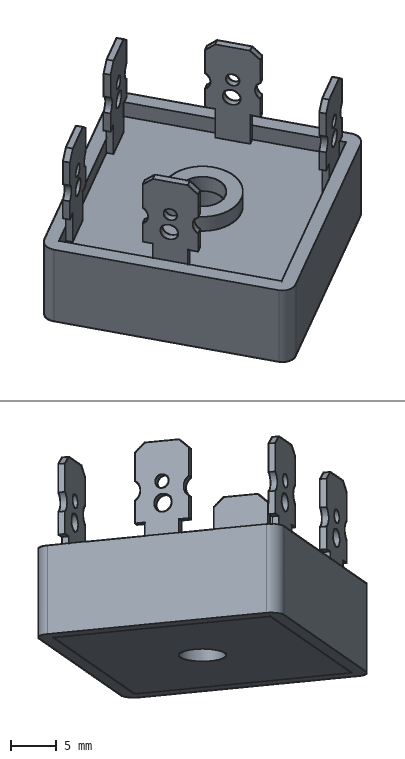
import cadquery as cq

side = 28.5
frame_height = 10.0
wall = 1.62
corner_radius = 1.5
inner_side = side - 2 * wall

recess_depth = 2.0
floor_top = frame_height - recess_depth
bore_diameter = 5.2
collar_diameter = 8.8

total_height = 21.0
blade_thickness = 0.8
blade_width = 6.3
neck_width = 4.0
shoulder_height = 12.0
tip_chamfer_width = 1.17
tip_chamfer_height = 1.05
notch_height = 15.65
notch_depth = 0.63
notch_length = 2.2
small_hole_diameter = 1.55
small_hole_height = 16.47
large_hole_diameter = 2.02
large_hole_height = 14.02
large_hole_offset = -0.1
side_terminal_y = 7.98
wall_distance = inner_side / 2


def make_frame():
    outer = cq.Workplane("XY").rect(side, side).extrude(frame_height)
    outer = outer.edges("|Z").fillet(corner_radius)
    opening = cq.Workplane("XY").rect(inner_side, inner_side).extrude(frame_height)
    return outer.cut(opening)


def make_floor():
    slab = cq.Workplane("XY").rect(inner_side, inner_side).extrude(floor_top)
    bore = cq.Workplane("XY").circle(bore_diameter / 2).extrude(floor_top)
    return slab.cut(bore)


def make_collar():
    return (
        cq.Workplane("XY", origin=(0, 0, floor_top))
        .circle(collar_diameter / 2)
        .circle(bore_diameter / 2)
        .extrude(recess_depth)
    )


def blade_hole(x, height, diameter):
    return (
        cq.Workplane("XZ")
        .center(x, height)
        .circle(diameter / 2)
        .extrude(-blade_thickness)
    )


def make_terminal():
    """Terminal centred on x = 0, with one face on y = 0 and its thickness toward +Y."""
    half_blade = blade_width / 2
    half_neck = neck_width / 2
    half_tip = half_blade - tip_chamfer_width
    chamfer_start = total_height - tip_chamfer_height
    notch_low = notch_height - notch_length / 2
    notch_high = notch_height + notch_length / 2
    notch_bottom = half_blade - notch_depth

    blade = (
        cq.Workplane("XZ")
        .moveTo(-half_neck, floor_top)
        .lineTo(half_neck, floor_top)
        .lineTo(half_neck, shoulder_height)
        .lineTo(half_blade, shoulder_height)
        .lineTo(half_blade, notch_low)
        .threePointArc((notch_bottom, notch_height), (half_blade, notch_high))
        .lineTo(half_blade, chamfer_start)
        .lineTo(half_tip, total_height)
        .lineTo(-half_tip, total_height)
        .lineTo(-half_blade, chamfer_start)
        .lineTo(-half_blade, notch_high)
        .threePointArc((-notch_bottom, notch_height), (-half_blade, notch_low))
        .lineTo(-half_blade, shoulder_height)
        .lineTo(-half_neck, shoulder_height)
        .close()
        .extrude(-blade_thickness)
    )
    small_hole = blade_hole(0, small_hole_height, small_hole_diameter)
    large_hole = blade_hole(large_hole_offset, large_hole_height, large_hole_diameter)
    return blade.cut(small_hole).cut(large_hole)


def place_terminals():
    far_face = wall_distance - blade_thickness
    places = [
        (0, 0, -wall_distance),
        (0, 0, far_face),
        (-90, -wall_distance, -side_terminal_y),
        (-90, -wall_distance, side_terminal_y),
        (-90, far_face, side_terminal_y),
    ]
    terminals = []
    for turn, x, y in places:
        terminal = make_terminal().rotate((0, 0, 0), (0, 0, 1), turn)
        terminals.append(terminal.translate((x, y, 0)))
    return terminals


frame = make_frame()
floor = make_floor()
collar = make_collar()
terminals = place_terminals()

result = cq.Compound.makeCompound(
    [frame.val(), floor.val(), collar.val(), *[terminal.val() for terminal in terminals]]
)